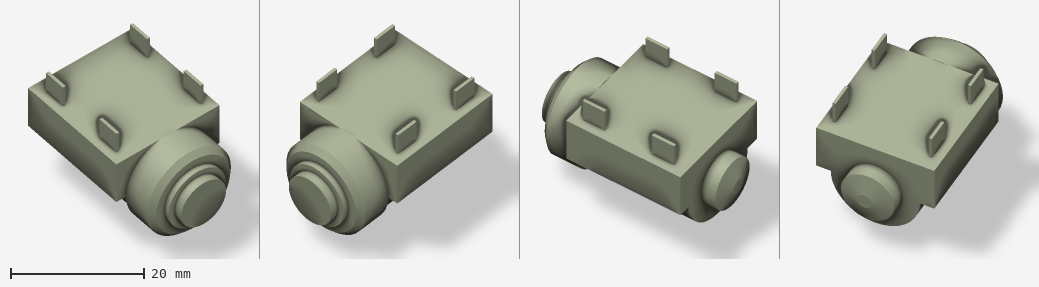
import cadquery as cq

cone_length = 1.0
plunger_length = 2.5
body_length = 21.0
collar_length = 6.0
collar_chamfer = 1.0
ring_length = 1.0
nose_length = 1.52

cone_tip_diameter = 2.5
plunger_diameter = 8.98
barrel_diameter = 15.05
collar_diameter = 16.25
ring_diameter = 11.02
nose_diameter = 8.65

block_width = 20.0
block_height = 8.0

tab_length = 4.03
tab_thickness = 0.53
tab_height = 4.0
first_tab_start = 2.3
tab_pitch = 12.75
tab_row_spacing = 16.3

body_start = cone_length + plunger_length
body_end = body_start + body_length
collar_end = body_end + collar_length
ring_end = collar_end + ring_length


def cylinder(start, length, diameter):
    """Solid cylinder about the X axis, beginning at the given X station."""
    return cq.Workplane("YZ", origin=(start, 0, 0)).circle(diameter / 2).extrude(length)


def make_body():
    """Block with the half-round barrel below it."""
    block = cq.Workplane("XY").box(
        body_length, block_width, block_height, centered=(False, True, False)
    ).translate((body_start, 0, 0))
    return block.union(cylinder(body_start, body_length, barrel_diameter))


def make_plunger():
    """Round plunger with a blunt conical tip."""
    tip_radius = cone_tip_diameter / 2
    plunger_radius = plunger_diameter / 2
    half_profile = (
        cq.Workplane("XY")
        .moveTo(0, 0)
        .lineTo(0, tip_radius)
        .lineTo(cone_length, plunger_radius)
        .lineTo(body_start, plunger_radius)
        .lineTo(body_start, 0)
        .close()
    )
    return half_profile.revolve(360, (0, 0, 0), (1, 0, 0))


def make_front_end():
    """Chamfered collar followed by the stepped ring and nose."""
    collar = cylinder(body_end, collar_length, collar_diameter).faces(">X").chamfer(collar_chamfer)
    ring = cylinder(collar_end, ring_length, ring_diameter)
    nose = cylinder(ring_end, nose_length, nose_diameter)
    return collar.union(ring).union(nose)


def make_tab(start, y_center):
    """Flat terminal tab rising from the top of the block."""
    tab = cq.Workplane("XY").box(tab_length, tab_thickness, tab_height, centered=(False, True, False))
    return tab.translate((start, y_center, block_height))


result = make_body().union(make_plunger()).union(make_front_end())
for column in range(2):
    tab_start = body_start + first_tab_start + column * tab_pitch
    for side in (-1, 1):
        result = result.union(make_tab(tab_start, side * tab_row_spacing / 2))